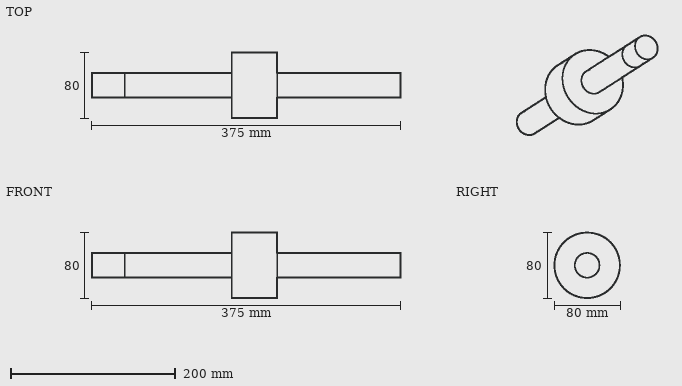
import cadquery as cq

total_length = 375.0
rod_diameter = 30.0
drum_diameter = 80.0
drum_length = 55.0
end_plug_length = 40.0
drum_start = 170.0

left_end = -total_length / 2
middle_rod_start = left_end + end_plug_length
drum_left_face = left_end + drum_start
drum_right_face = drum_left_face + drum_length
right_end = left_end + total_length


def cylinder_along_x(start, end, diameter):
    """Solid cylinder centred on the X axis between two X positions."""
    return cq.Workplane("YZ", origin=(start, 0, 0)).circle(diameter / 2).extrude(end - start)


end_plug = cylinder_along_x(left_end, middle_rod_start, rod_diameter)

middle_rod = cylinder_along_x(middle_rod_start, drum_left_face, rod_diameter)

drum = cylinder_along_x(drum_left_face, drum_right_face, drum_diameter)

right_rod = cylinder_along_x(drum_right_face, right_end, rod_diameter)

result = cq.Compound.makeCompound([end_plug.val(), middle_rod.val(), drum.val(), right_rod.val()])